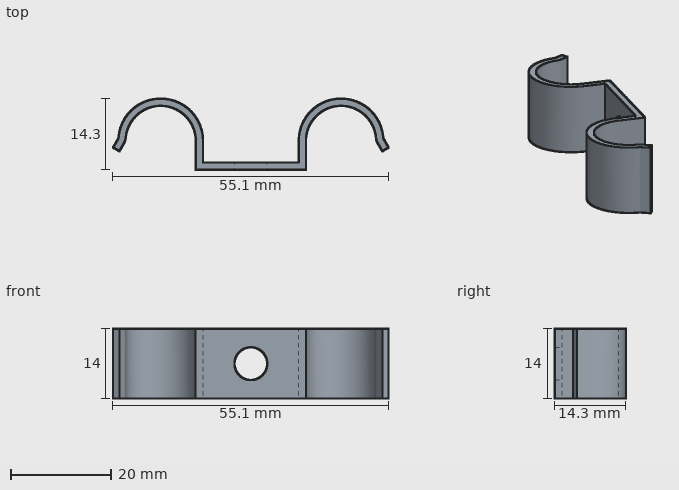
import cadquery as cq
import math

length = 55.15
depth = 14.3
width = 14.0
thickness = 1.5
inner_radius = 7.0
base_half_length = 11.05
hole_diameter = 6.5
arc_end_angle = 4.6
lip_angle = 30.0
bend_radius = 0.75

outer_radius = inner_radius + thickness
clip_x = base_half_length - thickness + outer_radius
clip_y = depth - outer_radius
bend_distance = outer_radius + bend_radius


def polar(center, radius, degrees):
    angle = math.radians(degrees)
    return (center[0] + radius * math.cos(angle), center[1] + radius * math.sin(angle))


def make_clip():
    """Right-hand half of the strip: half base, leg, clip arc and flared lip."""
    center = (clip_x, clip_y)
    bend_center = polar(center, bend_distance, arc_end_angle)
    bend_start = 180 + arc_end_angle
    bend_end = 180 + lip_angle
    bend_middle = (bend_start + bend_end) / 2
    bend_outer_radius = bend_radius + thickness
    crown_angle = (180 + arc_end_angle) / 2

    lip_start = polar(bend_center, bend_radius, bend_end)
    lip_length = (length / 2 - lip_start[0]) / math.sin(math.radians(lip_angle))
    lip_direction = lip_angle - 90
    lip_outer_tip = polar(lip_start, lip_length, lip_direction)
    lip_inner_tip = polar(lip_outer_tip, thickness, bend_end)

    return (
        cq.Workplane("XY")
        .moveTo(0, 0)
        .lineTo(base_half_length, 0)
        .lineTo(base_half_length, clip_y)
        .threePointArc(
            polar(center, inner_radius, crown_angle), polar(center, inner_radius, arc_end_angle)
        )
        .threePointArc(
            polar(bend_center, bend_outer_radius, bend_middle),
            polar(bend_center, bend_outer_radius, bend_end),
        )
        .lineTo(*lip_inner_tip)
        .lineTo(*lip_outer_tip)
        .lineTo(*lip_start)
        .threePointArc(
            polar(bend_center, bend_radius, bend_middle), polar(bend_center, bend_radius, bend_start)
        )
        .threePointArc(
            polar(center, outer_radius, crown_angle), (base_half_length - thickness, clip_y)
        )
        .lineTo(base_half_length - thickness, thickness)
        .lineTo(0, thickness)
        .close()
        .extrude(width / 2, both=True)
    )


def make_hole():
    """Mounting hole through the middle of the base plate."""
    return cq.Workplane("XZ").circle(hole_diameter / 2).extrude(thickness, both=True)


right_half = make_clip()
strip = right_half.union(right_half.mirror("YZ"))
result = strip.cut(make_hole())